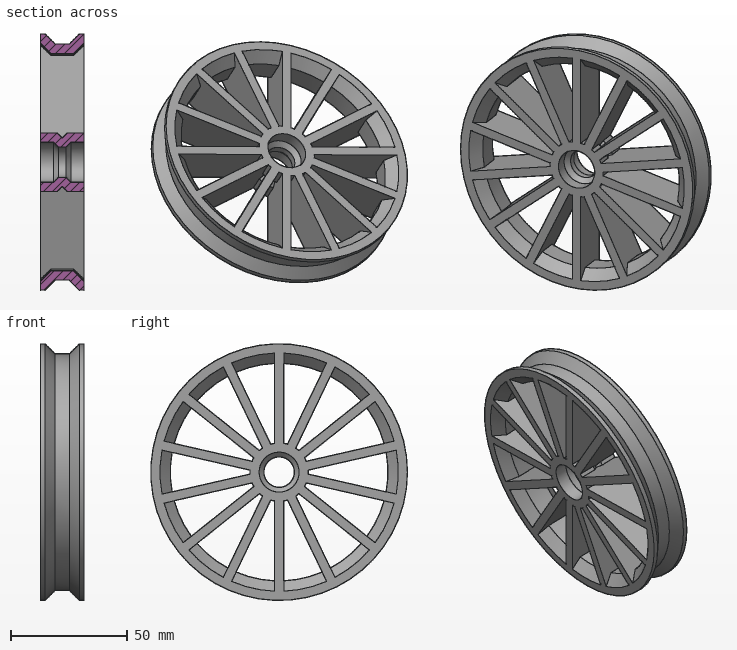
import cadquery as cq

width = 18.8
outer_radius = 55.3
half_width = width / 2

rim_thickness = 4.0
flange_land = 2.0
groove_floor_width = 6.2
groove_depth = half_width - flange_land - groove_floor_width / 2
groove_radius = outer_radius - groove_depth
rim_bore_radius = outer_radius - rim_thickness
rim_taper_depth = 4.5
rim_throat_radius = rim_bore_radius - rim_taper_depth
rim_throat_width = width - 2 * rim_taper_depth

hub_radius = 12.6
bore_mouth_radius = 8.6
bore_throat_radius = 6.5
bore_mouth_depth = 5.7
bore_taper_length = bore_mouth_radius - bore_throat_radius
bore_throat_width = width - 2 * (bore_mouth_depth + bore_taper_length)
hub_groove_depth = bore_taper_length
hub_groove_half_width = hub_groove_depth

spoke_count = 14
spoke_thickness = 4.0


def narrowing_outline(mouth_radius, throat_radius, land, throat_width):
    """Axial (x, radius) points, full radius at both ends and reduced in the middle."""
    half_throat = throat_width / 2
    return [
        (-half_width, mouth_radius),
        (-half_width + land, mouth_radius),
        (-half_throat, throat_radius),
        (half_throat, throat_radius),
        (half_width - land, mouth_radius),
        (half_width, mouth_radius),
    ]


def revolved_to_axis(outline):
    """Solid of revolution filling the space between an outline and the X axis."""
    profile = [(-half_width, 0)] + outline + [(half_width, 0)]
    return cq.Workplane("XY").polyline(profile).close().revolve(360, (0, 0, 0), (1, 0, 0))


def make_wheel_envelope():
    outline = narrowing_outline(outer_radius, groove_radius, flange_land, groove_floor_width)
    return revolved_to_axis(outline)


def make_rim_cavity():
    half_throat = rim_throat_width / 2
    outline = [
        (-half_width, rim_bore_radius),
        (-half_throat, rim_throat_radius),
        (half_throat, rim_throat_radius),
        (half_width, rim_bore_radius),
    ]
    return revolved_to_axis(outline)


def make_hub():
    """Solid hub with a V groove around its middle."""
    outline = [
        (-half_width, hub_radius),
        (-hub_groove_half_width, hub_radius),
        (0, hub_radius - hub_groove_depth),
        (hub_groove_half_width, hub_radius),
        (half_width, hub_radius),
    ]
    return revolved_to_axis(outline)


def make_bore():
    outline = narrowing_outline(
        bore_mouth_radius, bore_throat_radius, bore_mouth_depth, bore_throat_width
    )
    return revolved_to_axis(outline)


def make_spokes(cavity):
    """Full-width radial plates, trimmed to the inside of the rim."""
    plates = cq.Workplane("XY")
    for index in range(spoke_count):
        plate = cq.Workplane("XY").box(
            width, spoke_thickness, outer_radius, centered=(True, True, False)
        )
        angle = index * 360 / spoke_count
        plates = plates.union(plate.rotate((0, 0, 0), (1, 0, 0), angle))
    return plates.intersect(cavity)


rim_cavity = make_rim_cavity()
rim = make_wheel_envelope().cut(rim_cavity)
result = rim.union(make_spokes(rim_cavity)).union(make_hub()).cut(make_bore())